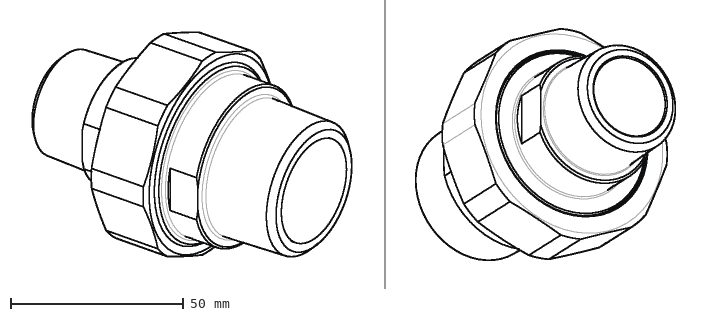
import cadquery as cq
import math


total_length = 91.0
nut_start = 34.0
nut_length = 20.0
nut_end = nut_start + nut_length
joint_plane = 44.0

thread_taper = 1 / 16
thread_end_chamfer = 2.0

small_bore_diameter = 24.0
small_bore_chamfer = 0.4
small_gauge_diameter = 33.25
small_gauge_length = 10.4
small_shoulder_start = 20.8
small_shoulder_diameter = 39.0
small_wrench_size = 36.0
small_flat_end = 31.8
small_root_fillet = 0.3
shoulder_fillet = 0.5
shoulder_chamfer_length = 0.5
shoulder_chamfer_height = 0.75
collar_diameter = 50.0
collar_chamfer = 0.5
flange_diameter = 54.0

large_bore_diameter = 32.0
large_gauge_diameter = 41.91
large_gauge_length = 12.7
large_shoulder_end = 66.8
large_shoulder_diameter = 50.0
large_wrench_size = 48.0
large_flat_start = 56.8
large_root_fillet = 0.8
neck_fillet = 0.8
mating_diameter = 55.85
mating_end_diameter = 54.0
mating_chamfer = (mating_diameter - mating_end_diameter) / 2

nut_across_flats = 62.0
nut_corner_diameter = 64.7
nut_side_count = 8
nut_face_diameter = 61.0
nut_front_chamfer_length = 0.5
nut_back_chamfer_length = 0.8
lip_bore_diameter = 50.5
lip_bore_chamfer = 0.25
lip_length = 5.0
flange_start = nut_start + lip_length


def cone_radius(gauge_diameter, gauge_length, distance_from_end):
    """Radius of a taper thread cone at a distance from its open end."""
    return gauge_diameter / 2 + (distance_from_end - gauge_length) * thread_taper / 2


def revolve_about_x(profile):
    """Revolve a closed profile, drawn as (X, radius), about the X axis."""
    return profile.close().revolve(360, (0, 0, 0), (1, 0, 0))


def wrench_flat_cutter(start, end, wrench_size, body_diameter):
    """Two blocks that leave parallel flats facing -Y and +Y."""
    length = end - start
    blocks = cq.Workplane("XY")
    for side in (-1, 1):
        center = ((start + end) / 2, side * (wrench_size + body_diameter) / 2, 0)
        block = cq.Workplane("XY").box(length, body_diameter, body_diameter).translate(center)
        blocks = blocks.add(block)
    return blocks.combine()


def make_small_tailpiece():
    bore = small_bore_diameter / 2
    shoulder = small_shoulder_diameter / 2
    collar = collar_diameter / 2
    flange = flange_diameter / 2
    thread_tip = cone_radius(small_gauge_diameter, small_gauge_length, thread_end_chamfer)
    root_start = small_shoulder_start - small_root_fillet
    thread_root = cone_radius(small_gauge_diameter, small_gauge_length, root_start)
    body = revolve_about_x(
        cq.Workplane("XY")
        .moveTo(0, bore + small_bore_chamfer)
        .lineTo(0, thread_tip - thread_end_chamfer)
        .lineTo(thread_end_chamfer, thread_tip)
        .lineTo(root_start, thread_root)
        .radiusArc((small_shoulder_start, thread_root + small_root_fillet), -small_root_fillet)
        .lineTo(small_shoulder_start, shoulder - shoulder_chamfer_height)
        .lineTo(small_shoulder_start + shoulder_chamfer_length, shoulder)
        .lineTo(nut_start - shoulder_fillet, shoulder)
        .radiusArc((nut_start, shoulder + shoulder_fillet), -shoulder_fillet)
        .lineTo(nut_start, collar - collar_chamfer)
        .lineTo(nut_start + collar_chamfer, collar)
        .lineTo(flange_start, collar)
        .lineTo(flange_start, flange)
        .lineTo(joint_plane, flange)
        .lineTo(joint_plane, bore)
        .lineTo(small_bore_chamfer, bore)
    )
    flats = wrench_flat_cutter(
        small_shoulder_start, small_flat_end, small_wrench_size, small_shoulder_diameter
    )
    return body.cut(flats)


def make_large_tailpiece():
    bore = large_bore_diameter / 2
    shoulder = large_shoulder_diameter / 2
    thread_tip = cone_radius(large_gauge_diameter, large_gauge_length, thread_end_chamfer)
    root_end = large_shoulder_end + large_root_fillet
    thread_root = cone_radius(large_gauge_diameter, large_gauge_length, total_length - root_end)
    neck_start = nut_end + mating_chamfer
    body = revolve_about_x(
        cq.Workplane("XY")
        .moveTo(joint_plane, bore)
        .lineTo(joint_plane, mating_diameter / 2)
        .lineTo(nut_end, mating_diameter / 2)
        .lineTo(neck_start, mating_end_diameter / 2)
        .lineTo(neck_start, shoulder + neck_fillet)
        .radiusArc((neck_start + neck_fillet, shoulder), -neck_fillet)
        .lineTo(large_shoulder_end - shoulder_chamfer_length, shoulder)
        .lineTo(large_shoulder_end, shoulder - shoulder_chamfer_height)
        .lineTo(large_shoulder_end, thread_root + large_root_fillet)
        .radiusArc((root_end, thread_root), -large_root_fillet)
        .lineTo(total_length - thread_end_chamfer, thread_tip)
        .lineTo(total_length, thread_tip - thread_end_chamfer)
        .lineTo(total_length, bore)
    )
    flats = wrench_flat_cutter(
        large_flat_start, large_shoulder_end, large_wrench_size, large_shoulder_diameter
    )
    return body.cut(flats)


def make_union_nut():
    """Octagon with rounded corners, trimmed by a turned envelope and bored in two steps."""
    vertex_diameter = nut_across_flats / math.cos(math.pi / nut_side_count)
    octagon = (
        cq.Workplane("YZ")
        .workplane(offset=nut_start)
        .polygon(nut_side_count, vertex_diameter)
        .extrude(nut_length)
    )
    corner = nut_corner_diameter / 2
    face = nut_face_diameter / 2
    lip_bore = lip_bore_diameter / 2
    main_bore = mating_diameter / 2
    turned_envelope = revolve_about_x(
        cq.Workplane("XY")
        .moveTo(nut_start, lip_bore + lip_bore_chamfer)
        .lineTo(nut_start, face)
        .lineTo(nut_start + nut_front_chamfer_length, corner)
        .lineTo(nut_end - nut_back_chamfer_length, corner)
        .lineTo(nut_end, face)
        .lineTo(nut_end, main_bore)
        .lineTo(flange_start, main_bore)
        .lineTo(flange_start, lip_bore)
        .lineTo(nut_start + lip_bore_chamfer, lip_bore)
    )
    return octagon.intersect(turned_envelope)


small_tailpiece = make_small_tailpiece()
large_tailpiece = make_large_tailpiece()
union_nut = make_union_nut()

result = cq.Compound.makeCompound(
    [body.solids().val() for body in (small_tailpiece, large_tailpiece, union_nut)]
)